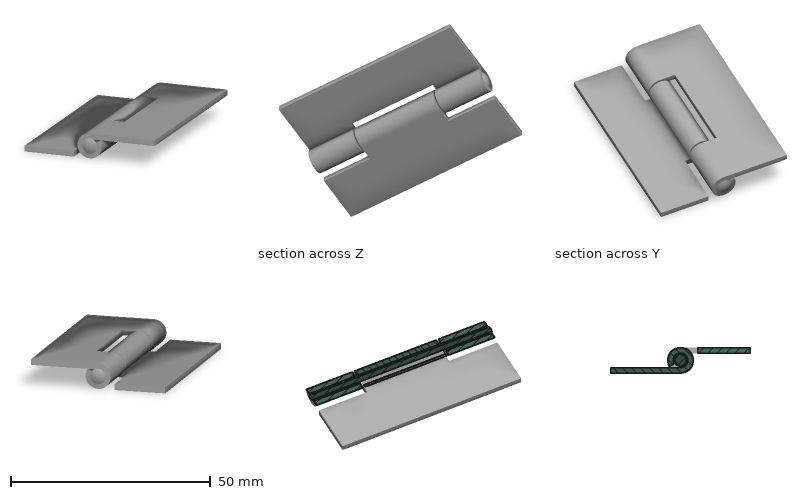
import cadquery as cq
import math

hinge_length = 50.0
leaf_reach = 17.5
sheet_thickness = 1.5
knuckle_radius = 3.25
bore_radius = knuckle_radius - sheet_thickness
curl_end_angle = 30.0
knuckle_clearance = 1.0
relief_reach = knuckle_radius + knuckle_clearance

middle_knuckle_length = 23.0
end_gap = 0.5
notch_length = middle_knuckle_length + 2 * end_gap

pin_radius = 1.5
pin_head_radius = 2.0
pin_head_height = 0.6


def polar_point(radius, angle_degrees):
    angle = math.radians(angle_degrees)
    return (radius * math.cos(angle), radius * math.sin(angle))


def make_rolled_leaf():
    """Full-length leaf reaching +X, its sheet on top and its edge curled down round the axis."""
    middle_of_curl = (90 + 360 + curl_end_angle) / 2
    profile = (
        cq.Workplane("XZ")
        .moveTo(leaf_reach, knuckle_radius)
        .lineTo(0, knuckle_radius)
        .threePointArc(
            polar_point(knuckle_radius, middle_of_curl),
            polar_point(knuckle_radius, curl_end_angle),
        )
        .lineTo(*polar_point(bore_radius, curl_end_angle))
        .threePointArc(polar_point(bore_radius, middle_of_curl), (0, bore_radius))
        .lineTo(leaf_reach, bore_radius)
        .close()
    )
    return profile.extrude(hinge_length / 2, both=True)


def make_relief(length, center_y):
    """Block that clears the curl and the neighbouring sheet over one stretch of the axis."""
    return (
        cq.Workplane("XY")
        .box(2 * relief_reach, length, 2 * knuckle_radius)
        .translate((0, center_y, 0))
    )


def make_outer_leaf():
    """Leaf on +X that keeps a knuckle at each end."""
    return make_rolled_leaf().cut(make_relief(notch_length, 0))


def make_middle_leaf():
    """Leaf on -X, turned half round about the axis, that keeps only the middle knuckle."""
    leaf = make_rolled_leaf().rotate((0, 0, 0), (0, 1, 0), 180)
    relief_length = (hinge_length - middle_knuckle_length) / 2
    relief_center = (hinge_length - relief_length) / 2
    for side in (-1, 1):
        leaf = leaf.cut(make_relief(relief_length, side * relief_center))
    return leaf


def make_pin():
    """Pin with a shallow domed head against each end of the hinge."""
    half_length = hinge_length / 2
    tip = half_length + pin_head_height
    dome_radius = (pin_head_radius**2 + pin_head_height**2) / (2 * pin_head_height)
    dome_center = tip - dome_radius
    half_dome_angle = math.asin(pin_head_radius / dome_radius) / 2
    dome_middle_x = dome_radius * math.sin(half_dome_angle)
    dome_middle_y = dome_center + dome_radius * math.cos(half_dome_angle)
    profile = (
        cq.Workplane("XY")
        .moveTo(0, -tip)
        .threePointArc((dome_middle_x, -dome_middle_y), (pin_head_radius, -half_length))
        .lineTo(pin_radius, -half_length)
        .lineTo(pin_radius, half_length)
        .lineTo(pin_head_radius, half_length)
        .threePointArc((dome_middle_x, dome_middle_y), (0, tip))
        .close()
    )
    return profile.revolve(360, (0, 0, 0), (0, 1, 0))


outer_leaf = make_outer_leaf()
middle_leaf = make_middle_leaf()
pin = make_pin()

result = cq.Compound.makeCompound([outer_leaf.val(), middle_leaf.val(), pin.val()])